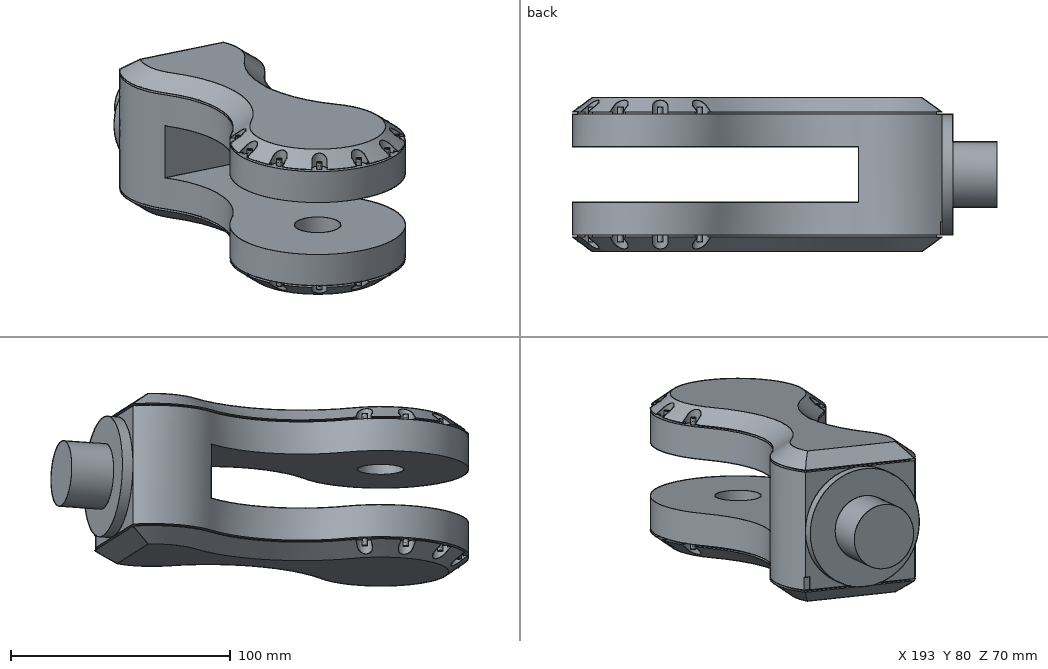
import cadquery as cq
import math

total_length = 193.0
total_height = 70.0

shaft_diameter = 30.0
shaft_length = 20.0
collar_thickness = 5.0

head_radius = 40.0
lobe_radius = 33.0
neck_radius = 50.0

body_height = 55.0
end_face_width = 55.0
slot_height = 25.0

cover_height = (total_height - body_height) / 2
cover_bevel_height = 6.5
cover_bevel_width = 9.0

groove_height = cover_height - cover_bevel_height
groove_depth = 2.3

pocket_count = 9
pocket_pitch_angle = 30.0
pocket_width = 7.0
pocket_circle_radius = 36.0
screw_diameter = 2.5
screw_height = 3.0
socket_diameter = 1.4
socket_depth = 1.5

recess_diameter = 21.0
recess_depth = 10.0

notch_width = 2.3
notch_height = 6.0
notch_depth = 0.5

body_start = shaft_length + collar_thickness
lobe_x = body_start + math.sqrt(lobe_radius**2 - (end_face_width / 2) ** 2)
head_x = total_length - head_radius

lobe_to_neck = lobe_radius + neck_radius
head_to_neck = head_radius + neck_radius
lobe_to_head = head_x - lobe_x
neck_offset = (lobe_to_neck**2 - head_to_neck**2 + lobe_to_head**2) / (2 * lobe_to_head)
neck_x = lobe_x + neck_offset
neck_y = math.sqrt(lobe_to_neck**2 - neck_offset**2)


def toward(start, end, distance):
    """Point at a distance from start on the line to end."""
    share = distance / math.dist(start, end)
    return (start[0] + share * (end[0] - start[0]), start[1] + share * (end[1] - start[1]))


def mirrored(point):
    """Point reflected to the other side of the X axis."""
    return (point[0], -point[1])


neck_center = (neck_x, neck_y)
corner = (body_start, end_face_width / 2)
lobe_top = (lobe_x, lobe_radius)
lobe_joint = toward((lobe_x, 0), neck_center, lobe_radius)
neck_low = (neck_x, neck_y - neck_radius)
head_joint = toward((head_x, 0), neck_center, head_radius)
head_tip = (total_length, 0)


def outline(z):
    """Closed dumbbell outline at height z, flat at the -X end."""
    return (
        cq.Workplane("XY", origin=(0, 0, z))
        .moveTo(*mirrored(corner))
        .lineTo(*corner)
        .threePointArc(lobe_top, lobe_joint)
        .threePointArc(neck_low, head_joint)
        .threePointArc(head_tip, mirrored(head_joint))
        .threePointArc(mirrored(neck_low), mirrored(lobe_joint))
        .threePointArc(mirrored(lobe_top), mirrored(corner))
        .close()
    )


def forked_body():
    """Block split into two arms, each with a round recess facing the slot."""
    block = outline(-body_height / 2).extrude(body_height)
    slot_length = total_length - lobe_joint[0]
    slot = cq.Workplane("XY").box(
        slot_length, 2 * head_radius, slot_height, centered=(False, True, True)
    ).translate((lobe_joint[0], 0, 0))
    recesses = (
        cq.Workplane("XY")
        .center(head_x, 0)
        .circle(recess_diameter / 2)
        .extrude(slot_height / 2 + recess_depth, both=True)
    )
    return block.cut(slot).cut(recesses).cut(corner_notch())


def corner_notch():
    notch = cq.Workplane("XY").box(
        notch_depth, 2 * notch_width, notch_height, centered=(False, True, False)
    )
    return notch.translate((body_start, end_face_width / 2, -body_height / 2))


def shaft_and_collar():
    shaft = cq.Workplane("YZ").circle(shaft_diameter / 2).extrude(shaft_length)
    collar = (
        cq.Workplane("YZ", origin=(shaft_length, 0, 0))
        .circle(body_height / 2)
        .extrude(collar_thickness)
    )
    return shaft.union(collar)


def top_cover():
    """Bevelled cover on a set-back core, with a screw standing in each pocket."""
    base_z = body_height / 2
    taper = math.degrees(math.atan2(cover_bevel_width, cover_bevel_height))
    core = outline(base_z).offset2D(-groove_depth).extrude(groove_height)
    bevel = outline(base_z + groove_height).extrude(cover_bevel_height, taper=taper)
    cover = core.union(bevel)
    for index in range(pocket_count):
        angle = (index - (pocket_count - 1) / 2) * pocket_pitch_angle
        cover = cover.cut(at_head(screw_pocket(base_z), angle))
        cover = cover.union(at_head(screw(base_z), angle))
    return cover


def screw_pocket(z):
    """Round-ended slot open to the outside, for the head's +X direction."""
    base = cq.Workplane("XY", origin=(pocket_circle_radius, 0, z))
    round_end = base.circle(pocket_width / 2).extrude(cover_height)
    mouth = base.box(
        head_radius, pocket_width, cover_height, centered=(False, True, False), combine=False
    )
    return round_end.union(mouth)


def screw(z):
    base = cq.Workplane("XY", origin=(pocket_circle_radius, 0, z))
    post = base.circle(screw_diameter / 2).extrude(screw_height)
    return post.faces(">Z").workplane().hole(socket_diameter, socket_depth)


def at_head(shape, angle):
    """Turn a shape about the origin and carry it to the head axis."""
    return shape.rotate((0, 0, 0), (0, 0, 1), angle).translate((head_x, 0, 0))


cover = top_cover()
result = forked_body().union(shaft_and_collar()).union(cover).union(cover.mirror("XY"))